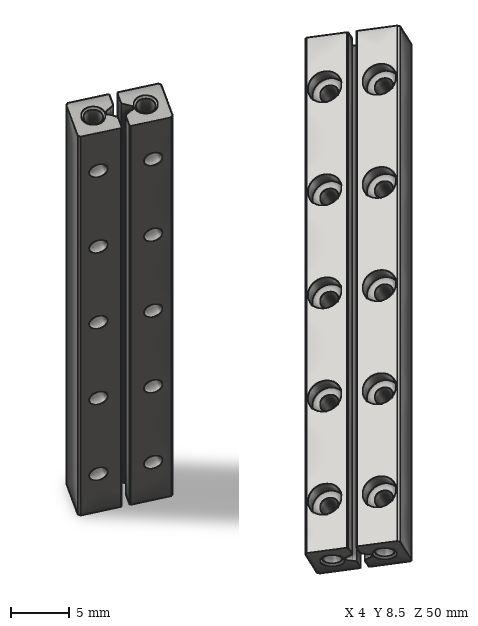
import cadquery as cq
length = 50.0
rail_width = 4.0
pair_depth = 8.5
rail_gap = 0.7

outer_chamfer = 0.2
inner_chamfer = 0.1

groove_mouth = 1.4
groove_neck = 0.9
groove_neck_depth = 0.35
groove_tip = 0.3
groove_depth = 0.85

hole_count = 5
hole_pitch = length / hole_count
hole_offset = 2.45
mounting_diameter = 1.65
counterbore_diameter = 3.0
counterbore_depth = 1.4

end_hole_offset = 2.35
end_hole_diameter = 1.7
end_hole_mouth = 2.1
end_hole_depth = 2.5
drill_tip_height = end_hole_diameter / 2


def rail_body():
    """Rail on the +Y side: grooved inner face and four chamfered long edges."""
    inner = rail_gap / 2
    outer = pair_depth / 2
    half_width = rail_width / 2
    right_half = [
        (groove_tip / 2, inner + groove_depth),
        (groove_neck / 2, inner + groove_neck_depth),
        (groove_mouth / 2, inner),
        (half_width - inner_chamfer, inner),
        (half_width, inner + inner_chamfer),
        (half_width, outer - outer_chamfer),
        (half_width - outer_chamfer, outer),
    ]
    left_half = [(-x, y) for x, y in reversed(right_half)]
    return cq.Workplane("XY").polyline(right_half + left_half).close().extrude(length)


def mounting_hole(height):
    """Cutter along X for a through hole counterbored from the -X face."""
    face = cq.Workplane("YZ", origin=(-rail_width / 2, hole_offset, height))
    through = face.circle(mounting_diameter / 2).extrude(rail_width)
    return through.union(face.circle(counterbore_diameter / 2).extrude(counterbore_depth))


def end_hole():
    """Cutter for a blind hole in the top end, with a countersunk mouth and a conical bottom."""
    radius = end_hole_diameter / 2
    mouth_radius = end_hole_mouth / 2
    bottom = length - end_hole_depth
    profile = [
        (0, length),
        (mouth_radius, length),
        (radius, length - (mouth_radius - radius)),
        (radius, bottom),
        (0, bottom - drill_tip_height),
    ]
    cutter = cq.Workplane("XZ").polyline(profile).close().revolve(360, (0, 0), (0, 1))
    return cutter.translate((0, end_hole_offset, 0))


def make_rail():
    """Rail on the +Y side with its mounting holes and end holes."""
    rail = rail_body()
    for index in range(hole_count):
        rail = rail.cut(mounting_hole((index + 0.5) * hole_pitch))
    top_hole = end_hole()
    bottom_hole = top_hole.mirror("XY", (0, 0, length / 2))
    return rail.cut(top_hole).cut(bottom_hole)


back_rail = make_rail()
front_rail = back_rail.mirror("XZ")

result = cq.Compound.makeCompound([rail.val() for rail in (front_rail, back_rail)])